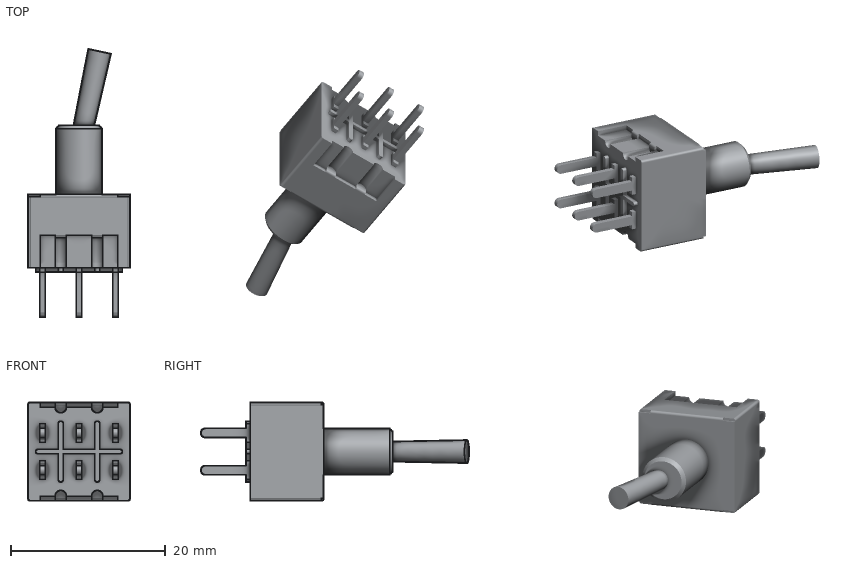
import cadquery as cq
import math


housing_width = 13.2
housing_length = 9.5
housing_height = 12.7
edge_radius = 0.3

step_length = 0.3
step_depth = 0.35

recess_width = 9.95
recess_length = 4.2
recess_depth = 0.62
groove_radius = 0.73
groove_stop_length = 0.3

terminal_columns = 3
terminal_rows = 2
column_pitch = 4.7
row_pitch = 4.8
terminal_thickness = 0.73
terminal_reach = 6.37
blade_height = 1.2
shoulder_height = 2.4

rib_rise = 0.55
row_rib_length = 11.2
row_rib_width = 0.55
column_rib_length = 7.85
column_rib_width = 0.62

bushing_diameter = 6.0
bushing_length = 8.95
bushing_chamfer = 0.45

lever_angle = 12
lever_length = 12.78
lever_pivot_diameter = 2.53
lever_tip_diameter = 3.0
lever_pivot_depth = 2.98

recess_floor_z = housing_height / 2 - recess_depth
recess_middle_z = recess_floor_z + recess_depth / 2
groove_end_y = recess_length - groove_stop_length
bushing_end_y = housing_length + bushing_length
lever_pivot_y = bushing_end_y - lever_pivot_depth
groove_xs = [-column_pitch / 2, column_pitch / 2]


def box_along_y(width, y_start, y_end, height, x=0, z=0):
    """Box centred on (x, z) that runs from y_start to y_end."""
    box = cq.Workplane("XY").box(width, y_end - y_start, height)
    return box.translate((x, (y_start + y_end) / 2, z))


def cylinder_along_y(radius, y_start, y_end, x=0, z=0):
    """Cylinder about the line through (x, z) that runs from y_start to y_end."""
    start = cq.Vector(x, y_start, z)
    return cq.Workplane(cq.Solid.makeCylinder(radius, y_end - y_start, start, cq.Vector(0, 1, 0)))


def housing_blank():
    """Block with rounded long edges on its outer parts and a rounded rim in its middle part."""
    outer = box_along_y(housing_width, 0, housing_length - step_length, housing_height)
    outer = outer.edges("|Y").fillet(edge_radius)
    lip = box_along_y(
        housing_width, housing_length - step_length, housing_length, housing_height - 2 * step_depth
    )
    middle = box_along_y(recess_width, 0, housing_length, housing_height)
    middle = middle.faces(">Y").edges("|X").fillet(edge_radius)
    return outer.union(lip).union(middle)


def groove_stop(x):
    """Rounded block that narrows the recess at the closed end of a groove."""
    stop = box_along_y(2 * groove_radius, groove_end_y, housing_length, recess_depth, x, recess_middle_z)
    return stop.edges("<Y and >Z").fillet(groove_stop_length)


def top_recess():
    """Cutter for the recess in the top side and the grooves in its floor."""
    cutter = box_along_y(recess_width, 0, recess_length, recess_depth, z=recess_middle_z)
    for x in groove_xs:
        groove = cylinder_along_y(groove_radius, 0, groove_end_y, x, recess_floor_z)
        cutter = cutter.union(groove).cut(groove_stop(x))
    return cutter


def barrier_ribs():
    """One rib between the two terminal rows, crossed by one rib between each two columns."""
    face = cq.Workplane("XZ")
    ribs = face.slot2D(row_rib_length, row_rib_width).extrude(rib_rise)
    for x in groove_xs:
        column_rib = face.center(x, 0).slot2D(column_rib_length, column_rib_width, 90).extrude(rib_rise)
        ribs = ribs.union(column_rib)
    return ribs


def make_housing():
    recess = top_recess()
    housing = housing_blank().cut(recess).cut(recess.mirror("XY"))
    return housing.union(barrier_ribs())


def make_lever():
    """Tapered round lever, tilted towards +X about its pivot."""
    tilt = math.radians(lever_angle)
    direction = cq.Vector(math.sin(tilt), math.cos(tilt), 0)
    pivot = cq.Vector(0, lever_pivot_y, 0)
    cone = cq.Solid.makeCone(
        lever_pivot_diameter / 2, lever_tip_diameter / 2, lever_length, pivot, direction
    )
    return cq.Workplane(cone)


def make_bushing(lever):
    """Chamfered cylinder with a hole that fits the lever."""
    bushing = cylinder_along_y(bushing_diameter / 2, housing_length, bushing_end_y)
    return bushing.faces(">Y").chamfer(bushing_chamfer).cut(lever)


def make_terminal(x, z):
    """Flat blade with a rounded tip, on a taller shoulder that stands on the housing."""
    tip_radius = blade_height / 2
    tip_center_y = -terminal_reach + tip_radius
    blade = box_along_y(terminal_thickness, tip_center_y, 0, blade_height, x, z)
    tip_profile = cq.Workplane("YZ").center(tip_center_y, z).circle(tip_radius)
    tip = tip_profile.extrude(terminal_thickness / 2, both=True).translate((x, 0, 0))
    shoulder = box_along_y(terminal_thickness, -rib_rise, 0, shoulder_height, x, z)
    return blade.union(tip).union(shoulder)


housing = make_housing()
lever = make_lever()
bushing = make_bushing(lever)

terminals = []
for column in range(terminal_columns):
    for row in range(terminal_rows):
        terminal_x = (column - (terminal_columns - 1) / 2) * column_pitch
        terminal_z = (row - (terminal_rows - 1) / 2) * row_pitch
        terminals.append(make_terminal(terminal_x, terminal_z).val())

result = cq.Compound.makeCompound([housing.val(), bushing.val(), lever.val(), *terminals])